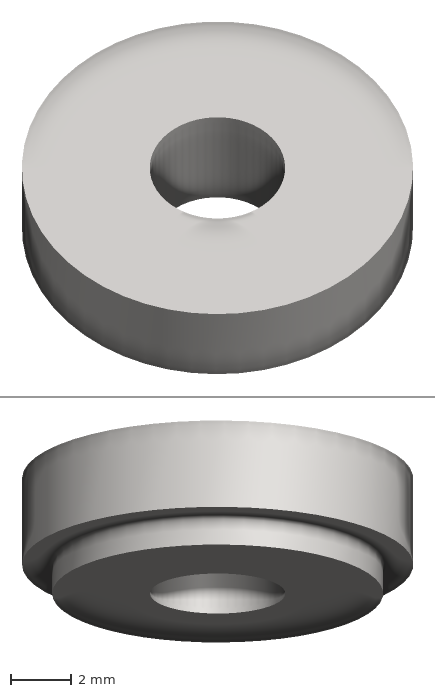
import cadquery as cq

outer_diameter = 13
spigot_diameter = 11.0
bore_diameter = 4.5
total_height = 4.0
spigot_height = 1.0
root_fillet = 0.1

disc_height = total_height - spigot_height

spigot = cq.Workplane("XY").circle(spigot_diameter / 2).extrude(spigot_height)
disc = (
    cq.Workplane("XY")
    .workplane(offset=spigot_height)
    .circle(outer_diameter / 2)
    .extrude(disc_height)
)
bore = cq.Workplane("XY").circle(bore_diameter / 2).extrude(total_height)

inner_corner = cq.selectors.RadiusNthSelector(0)
body = spigot.union(disc)
body = body.faces("<Z[1]").edges(inner_corner).fillet(root_fillet)

result = body.cut(bore)